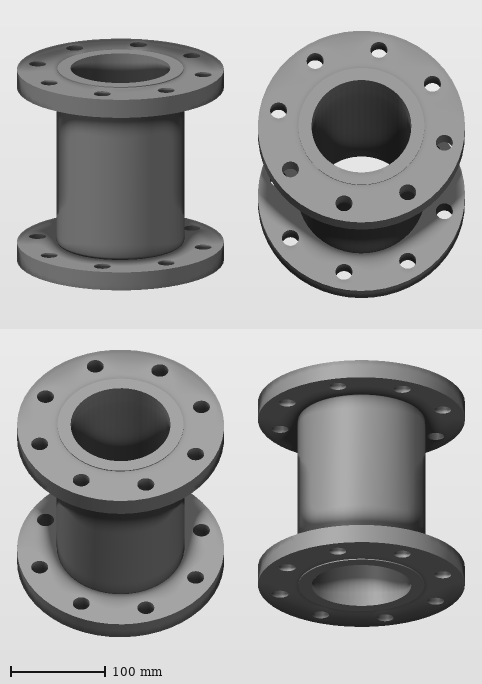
import cadquery as cq

flange_diameter = 220.0
overall_length = 214.0

flange_thickness = 20.0
raised_face_diameter = 134.0
raised_face_height = 1.0

tube_diameter = 135.7
bore_diameter = 106.0
tube_end_fillet = 3.0

bolt_count = 8
bolt_hole_diameter = 18.0
bolt_circle_diameter = 180.0

bolt_pitch_angle = 360 / bolt_count
flange_outer_z = overall_length / 2 - raised_face_height
flange_inner_z = flange_outer_z - flange_thickness


def cylinder(diameter, bottom_z, height):
    """Solid cylinder on the Z axis, starting at bottom_z."""
    return cq.Workplane("XY").workplane(offset=bottom_z).circle(diameter / 2).extrude(height)


def make_tube():
    """Solid tube body with rounded rims where it meets the flanges."""
    body = cylinder(tube_diameter, -flange_inner_z, 2 * flange_inner_z)
    return body.edges("%CIRCLE").fillet(tube_end_fillet)


def make_top_flange():
    """Upper flange disc with its raised face and ring of bolt holes."""
    disc = cylinder(flange_diameter, flange_inner_z, flange_thickness)
    bolt_holes = (
        cq.Workplane("XY")
        .workplane(offset=flange_inner_z)
        .polarArray(bolt_circle_diameter / 2, bolt_pitch_angle / 2, 360, bolt_count)
        .circle(bolt_hole_diameter / 2)
        .extrude(flange_thickness)
    )
    raised_face = cylinder(raised_face_diameter, flange_outer_z, raised_face_height)
    return disc.cut(bolt_holes).union(raised_face)


top_flange = make_top_flange()
bottom_flange = top_flange.mirror("XY")
bore = cylinder(bore_diameter, -overall_length / 2, overall_length)

result = make_tube().union(top_flange).union(bottom_flange).cut(bore)